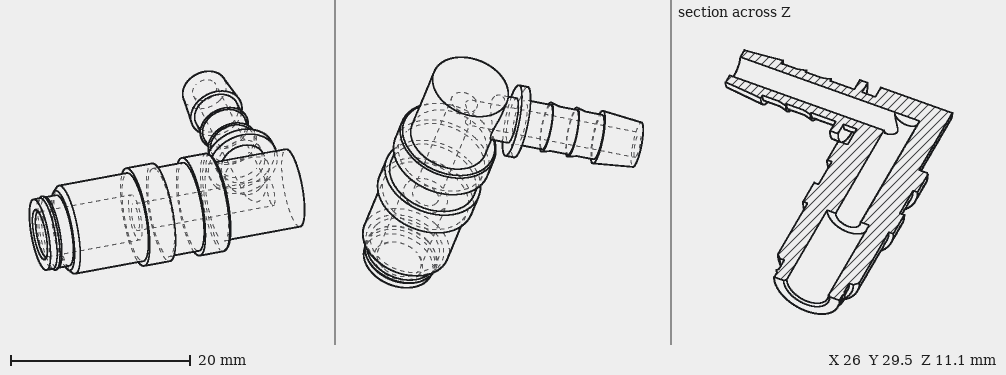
import cadquery as cq

total_length = 29.5
collar_diameter = 11.1
body_diameter = 10.0
head_diameter = 8.8
neck_diameter = 8.02
neck_length = 2.65
body_chamfer = 0.5
collar_width = 3.0
front_collar_start = 11.1
rear_collar_start = 17.58
collar_chamfer = 0.2

ring_diameter = 8.38
ring_start = 0.77
ring_width = 0.55

socket_diameter = 5.1
socket_depth = 11.1
socket_chamfer = 0.27
passage_diameter = 3.0

stem_length = 20.4
stem_diameter = 5.07
stem_bore_diameter = 2.8
tip_cone_diameter = 6.0
tip_cone_length = 4.55
ridge_diameter = 5.6
ridge_width = 1.0
ridge_starts = (6.5, 9.5)
flange_diameter = 8.02
flange_start = 13.45
flange_width = 1.0

stem_y = total_length - flange_diameter / 2
stem_tip_x = -stem_length


def cylinder_y(diameter, start, length):
    """Cylinder on the body axis, from start towards +Y."""
    plane = cq.Plane(origin=(0, start, 0), xDir=(1, 0, 0), normal=(0, 1, 0))
    return cq.Workplane(plane).circle(diameter / 2).extrude(length)


def cone_y(start_diameter, end_diameter, start, length):
    """Truncated cone on the body axis, from start towards +Y."""
    base = cq.Vector(0, start, 0)
    direction = cq.Vector(0, 1, 0)
    return cq.Workplane(cq.Solid.makeCone(start_diameter / 2, end_diameter / 2, length, base, direction))


def cone_x(start_diameter, end_diameter, start, length):
    """Truncated cone on the stem axis; start is measured from the stem tip."""
    base = cq.Vector(stem_tip_x + start, stem_y, 0)
    direction = cq.Vector(1, 0, 0)
    return cq.Workplane(cq.Solid.makeCone(start_diameter / 2, end_diameter / 2, length, base, direction))


def cylinder_x(diameter, start, length):
    """Cylinder on the stem axis; start is measured from the stem tip."""
    plane = cq.Plane(origin=(stem_tip_x + start, stem_y, 0), xDir=(0, 1, 0), normal=(1, 0, 0))
    return cq.Workplane(plane).circle(diameter / 2).extrude(length)


def make_body():
    rear_collar_end = rear_collar_start + collar_width
    barrel = cylinder_y(body_diameter, neck_length, rear_collar_end - neck_length)
    rear_collar = cylinder_y(collar_diameter, rear_collar_start, collar_width)
    body = cylinder_y(neck_diameter, 0, neck_length)
    body = body.union(barrel.faces("<Y").chamfer(body_chamfer))
    body = body.union(cylinder_y(collar_diameter, front_collar_start, collar_width))
    body = body.union(rear_collar.faces(">Y").chamfer(collar_chamfer))
    body = body.union(cylinder_y(head_diameter, rear_collar_end, total_length - rear_collar_end))
    ring_half = ring_width / 2
    body = body.union(cone_y(neck_diameter, ring_diameter, ring_start, ring_half))
    return body.union(cone_y(ring_diameter, neck_diameter, ring_start + ring_half, ring_half))


def make_stem():
    stem = cylinder_x(stem_diameter, 0, stem_length)
    stem = stem.union(cone_x(stem_diameter, tip_cone_diameter, 0, tip_cone_length))
    for start in ridge_starts:
        stem = stem.union(cone_x(stem_diameter, ridge_diameter, start, ridge_width))
    return stem.union(cylinder_x(flange_diameter, flange_start, flange_width))


def make_bores():
    socket = cylinder_y(socket_diameter, 0, socket_depth)
    mouth_diameter = socket_diameter + 2 * socket_chamfer
    mouth = cone_y(mouth_diameter, socket_diameter, 0, socket_chamfer)
    passage = cylinder_y(passage_diameter, 0, stem_y + stem_bore_diameter / 2)
    stem_bore = cylinder_x(stem_bore_diameter, 0, stem_length)
    return socket.union(mouth).union(passage).union(stem_bore)


result = make_body().union(make_stem()).cut(make_bores())